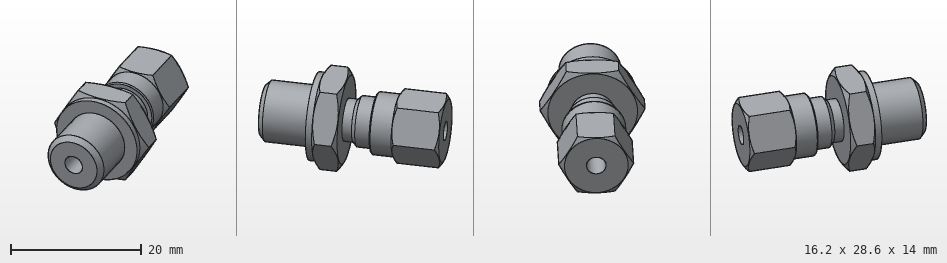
import cadquery as cq
import math


overall_length = 28.56
stud_length = 8.0
flange_thickness = 1.0
body_hex_length = 4.0
neck_length = 1.5
cap_hex_length = 7.5
cap_collar_length = 3.5

stud_diameter = 9.6
flange_diameter = 13.8
body_hex_across_flats = 14.0
neck_diameter = 6.7
nipple_diameter = 8.0
cap_collar_diameter = 9.8
cap_hex_across_flats = 10.0
bore_diameter = 3.0

stud_chamfer = 0.8
nipple_chamfer = (nipple_diameter - neck_diameter) / 2
collar_chamfer = 0.2
hex_chamfer_angle = math.radians(30)
corner_clearance = 0.1
body_hex_face_diameter = flange_diameter
cap_hex_face_diameter = cap_collar_diameter

flange_start = stud_length
body_hex_start = flange_start + flange_thickness
neck_start = body_hex_start + body_hex_length
nipple_start = neck_start + neck_length
cap_hex_start = overall_length - cap_hex_length
collar_start = cap_hex_start - cap_collar_length
nipple_length = collar_start - nipple_start


def plane_at(start):
    """Plane across the axis, facing +Y, with its local x along X."""
    return cq.Workplane(cq.Plane(origin=(0, start, 0), xDir=(1, 0, 0), normal=(0, 1, 0)))


def cylinder(start, length, diameter, start_chamfer=0):
    """Cylinder along the axis, optionally chamfered at its start face."""
    body = plane_at(start).circle(diameter / 2).extrude(length)
    if start_chamfer > 0:
        body = body.faces("<Y").edges().chamfer(start_chamfer)
    return body


def chamfered_hexagon(start, length, across_flats, face_diameter):
    """Hexagon with corners on +X and -X, turned conically at both ends."""
    corner_radius = across_flats / math.sqrt(3)
    face_radius = face_diameter / 2
    envelope_radius = corner_radius + corner_clearance
    cone_length = (envelope_radius - face_radius) * math.tan(hex_chamfer_angle)
    end = start + length
    prism = plane_at(start).polygon(6, 2 * corner_radius).extrude(length)
    envelope = (
        cq.Workplane("XY")
        .moveTo(0, start)
        .lineTo(face_radius, start)
        .lineTo(envelope_radius, start + cone_length)
        .lineTo(envelope_radius, end - cone_length)
        .lineTo(face_radius, end)
        .lineTo(0, end)
        .close()
        .revolve(360, (0, 0, 0), (0, 1, 0))
    )
    return prism.intersect(envelope)


def fitting_body():
    """Threaded stud, sealing flange, hexagon, neck and tube nipple."""
    stud = cylinder(0, stud_length, stud_diameter, stud_chamfer)
    flange = cylinder(flange_start, flange_thickness, flange_diameter)
    hexagon = chamfered_hexagon(
        body_hex_start, body_hex_length, body_hex_across_flats, body_hex_face_diameter
    )
    neck = cylinder(neck_start, neck_length, neck_diameter)
    nipple = cylinder(nipple_start, nipple_length, nipple_diameter, nipple_chamfer)
    return stud.union(flange).union(hexagon).union(neck).union(nipple)


def cap_nut():
    """Clamping nut with a round collar on the nipple side."""
    collar = cylinder(collar_start, cap_collar_length, cap_collar_diameter, collar_chamfer)
    hexagon = chamfered_hexagon(
        cap_hex_start, cap_hex_length, cap_hex_across_flats, cap_hex_face_diameter
    )
    return collar.union(hexagon)


bore = cylinder(0, overall_length, bore_diameter)
result = fitting_body().union(cap_nut()).cut(bore)